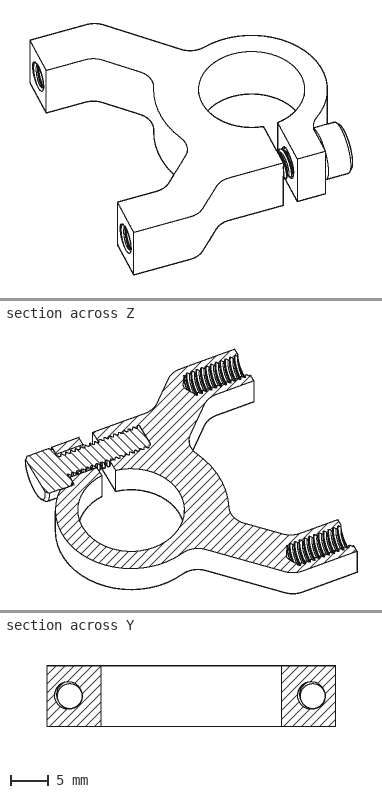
import cadquery as cq
import math

thickness = 8.0
overall_width = 38.0
bore_radius = 7.0
ring_radius = 10.0
lower_radius = 12.92
foot_y = -23.98
arm_width = 6.0
slot_width = 1.98
lug_end_x = 14.15
lug_top_y = 4.98
blend_radius = 3.0

thread_diameter = 4.0
thread_minor_diameter = 3.25
thread_pitch = 0.7
thread_angle = 60.0
head_diameter = 7.03
head_height = 4.0
head_chamfer = 0.4
screw_length = 12.0
screw_x = lug_end_x - head_diameter / 2
clearance_diameter = 4.3

foot_hole_depth = 8.0
drill_point_angle = 118.0
mouth_diameter = 4.03
mouth_angle = 120.0

half_width = overall_width / 2
foot_hole_x = half_width - arm_width / 2
foot_inner_x = half_width - arm_width
arm_offset = arm_width / math.sqrt(2)


def arm_meets_circle(radius, offset):
    """Point on the lower-left arm line y = x + offset where it crosses a circle about the bore."""
    x = (-offset - math.sqrt(2 * radius**2 - offset**2)) / 2
    return x, x + offset


def make_threaded_rod(length):
    """Right-hand threaded rod along +Z from the origin, cut square at both ends."""
    minor_radius = thread_minor_diameter / 2
    major_radius = thread_diameter / 2
    root_overlap = 0.08
    flank_slope = math.tan(math.radians(thread_angle / 2))
    crest_half = thread_pitch / 16
    root_radius = minor_radius - root_overlap
    root_half = crest_half + (major_radius - root_radius) * flank_slope

    helix = cq.Wire.makeHelix(thread_pitch, length + 2 * thread_pitch, minor_radius)
    ridge = (
        cq.Workplane("XZ")
        .polyline([
            (root_radius, -root_half),
            (major_radius, -crest_half),
            (major_radius, crest_half),
            (root_radius, root_half),
        ])
        .close()
        .sweep(cq.Workplane(helix), isFrenet=True)
        .translate((0, 0, -thread_pitch))
    )
    core = cq.Workplane("XY").circle(minor_radius).extrude(length)
    envelope = cq.Workplane("XY").circle(thread_diameter).extrude(length)
    return core.union(ridge.intersect(envelope))


def make_profile():
    """Bracket outline extruded to full thickness, with all re-entrant and arm corners blended."""
    ring_end_x, ring_end_y = arm_meets_circle(ring_radius, arm_offset)
    lower_x, lower_y = arm_meets_circle(lower_radius, -arm_offset)
    lug_start_x = math.sqrt(ring_radius**2 - lug_top_y**2)
    outer_corner_y = arm_offset - half_width
    inner_corner_y = -foot_inner_x - arm_offset

    profile = (
        cq.Workplane("XY")
        .workplane(offset=-thickness / 2)
        .moveTo(half_width, foot_y)
        .lineTo(half_width, outer_corner_y)
        .lineTo(lug_end_x, arm_offset - lug_end_x)
        .lineTo(lug_end_x, lug_top_y)
        .lineTo(lug_start_x, lug_top_y)
        .threePointArc((0, ring_radius), (ring_end_x, ring_end_y))
        .lineTo(-half_width, outer_corner_y)
        .lineTo(-half_width, foot_y)
        .lineTo(-foot_inner_x, foot_y)
        .lineTo(-foot_inner_x, inner_corner_y)
        .lineTo(lower_x, lower_y)
        .threePointArc((0, -lower_radius), (-lower_x, lower_y))
        .lineTo(foot_inner_x, inner_corner_y)
        .lineTo(foot_inner_x, foot_y)
        .close()
        .extrude(thickness)
    )

    position_tolerance = 0.05

    def is_blended(edge):
        centre = edge.Center()
        at_foot = math.isclose(centre.y, foot_y, abs_tol=position_tolerance)
        at_lug_tip = math.isclose(centre.x, lug_end_x, abs_tol=position_tolerance) and centre.y > 0
        return not (at_foot or at_lug_tip)

    return profile.edges("|Z").filter(is_blended).fillet(blend_radius)


def make_cone(base_radius, included_angle):
    """Cone along +Z with its base on the origin."""
    height = base_radius / math.tan(math.radians(included_angle / 2))
    return cq.Workplane(cq.Solid.makeCone(base_radius, 0, height))


def make_foot_hole():
    """Cutter for a blind tapped hole along +Y from the origin: countersunk mouth and drill point."""
    mouth_run_out = 0.23
    rod = make_threaded_rod(foot_hole_depth + mouth_run_out).translate((0, 0, -mouth_run_out))
    drill_point = make_cone(thread_minor_diameter / 2, drill_point_angle)
    mouth = make_cone(mouth_diameter / 2, mouth_angle)
    cutter = rod.union(drill_point.translate((0, 0, foot_hole_depth))).union(mouth)
    return cutter.rotate((0, 0, 0), (1, 0, 0), -90)


def make_screw():
    """Cap screw pointing along -Y, its head seated on the lug."""
    head = (
        cq.Workplane("XY")
        .circle(head_diameter / 2)
        .extrude(-head_height)
        .edges()
        .chamfer(head_chamfer)
    )
    screw = head.union(make_threaded_rod(screw_length))
    return screw.rotate((0, 0, 0), (1, 0, 0), 90).translate((screw_x, lug_top_y, 0))


def make_bracket(screw):
    """Bracket with bore, clamping slot, screw hole and tapped feet."""
    bore = cq.Workplane("XY").circle(bore_radius).extrude(thickness, both=True)
    slot = cq.Workplane("XY").box(lug_end_x, slot_width, thickness, centered=(False, True, True))
    clearance_hole = (
        cq.Workplane("XZ")
        .center(screw_x, 0)
        .circle(clearance_diameter / 2)
        .extrude(-lug_top_y)
    )
    head_recess = (
        cq.Workplane("XZ")
        .workplane(offset=-lug_top_y)
        .center(screw_x, 0)
        .circle(head_diameter / 2)
        .extrude(-head_height)
    )
    bracket = make_profile().cut(bore).cut(slot).cut(clearance_hole).cut(head_recess)
    bracket = bracket.cut(screw)
    foot_hole = make_foot_hole()
    for side in (-1, 1):
        bracket = bracket.cut(foot_hole.translate((side * foot_hole_x, foot_y, 0)))
    return bracket


screw = make_screw()
bracket = make_bracket(screw)
result = cq.Compound.makeCompound([bracket.solids().val(), screw.solids().val()])